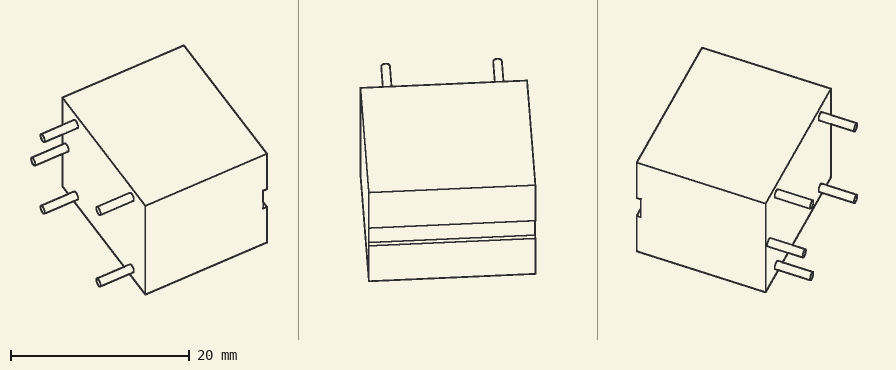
import cadquery as cq

width = 18.7
height = 15.0
total_depth = 20.0
pin_length = 4.3
body_depth = total_depth - pin_length

pin_diameter = 1.0
pin_row_spacing = 12.09
coil_pin_x = -6.28
contact_pin_x = 6.28
common_pin_x = -8.4

groove_height = 3.0
groove_depth = 0.5


def make_body():
    return cq.Workplane("XY").box(width, body_depth, height, centered=(True, False, True))


def make_groove():
    return (
        cq.Workplane("XY")
        .box(width, groove_depth, groove_height, centered=(True, False, True))
        .translate((0, body_depth - groove_depth, 0))
    )


def make_pins():
    half_spacing = pin_row_spacing / 2
    positions = [(common_pin_x, 0)]
    for x in (coil_pin_x, contact_pin_x):
        for z in (-half_spacing, half_spacing):
            positions.append((x, z))
    return cq.Workplane("XZ").pushPoints(positions).circle(pin_diameter / 2).extrude(pin_length)


result = make_body().cut(make_groove()).union(make_pins())